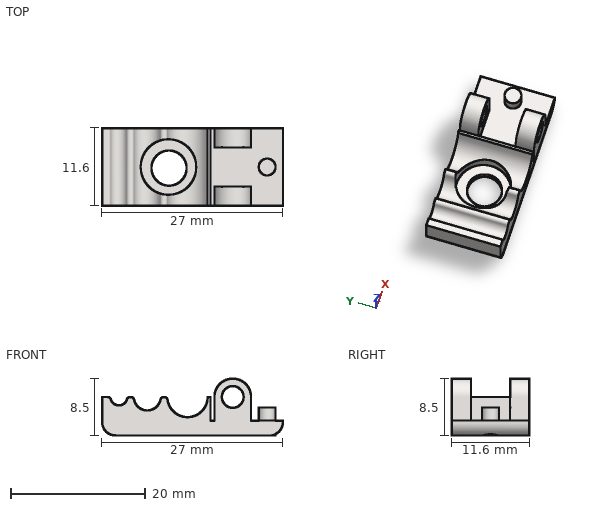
import cadquery as cq
import math

LENGTH = 27.0
WIDTH = 11.6
DECK_HEIGHT = 5.75
LEDGE_HEIGHT = 2.21
BOTTOM_RADIUS = 2.0

SMALL_GROOVE = (2.5, 1.25)
MEDIUM_GROOVE = (6.75, 2.0)
LARGE_GROOVE = (12.75, 3.0)
LIP_RADIUS = 0.5

CRADLE_END = 16.2
LUG_X = 19.5
LUG_RADIUS = 8.5 - DECK_HEIGHT
LUG_THICKNESS = 2.9
LUG_BORE = 3.2

PIN_X = 24.62
PIN_DIAMETER = 2.5
PIN_TOP = 4.2

RECESS_X = 9.9
RECESS_DIAMETER = 8.3
RECESS_FLOOR = 1.0
HOLE_X = 10.0
HOLE_Y = -0.15
HOLE_DIAMETER = 5.2


def extrude_across(profile, thickness, y_min):
    """Extrude an XZ profile toward +Y, starting at y_min."""
    return profile.extrude(-thickness).translate((0, y_min, 0))


def groove_cutter(groove, round_left=True, round_right=True):
    """Half-round channel whose chosen lips flare out tangent to the deck."""
    center_x, radius = groove
    lip_offset = math.sqrt((radius + LIP_RADIUS) ** 2 - LIP_RADIUS**2)
    touch_ratio = radius / (radius + LIP_RADIUS)
    touch_offset = lip_offset * touch_ratio
    touch_z = DECK_HEIGHT - LIP_RADIUS * touch_ratio
    half_sweep = math.atan2(lip_offset, LIP_RADIUS) / 2
    lip_mid_offset = lip_offset - LIP_RADIUS * math.sin(half_sweep)
    lip_mid_z = DECK_HEIGHT - LIP_RADIUS * (1 - math.cos(half_sweep))

    bottom = (center_x, DECK_HEIGHT - radius)
    if round_left:
        profile = (
            cq.Workplane("XZ")
            .moveTo(center_x - lip_offset, DECK_HEIGHT)
            .threePointArc((center_x - lip_mid_offset, lip_mid_z), (center_x - touch_offset, touch_z))
        )
    else:
        profile = cq.Workplane("XZ").moveTo(center_x - radius, DECK_HEIGHT)
    if round_right:
        profile = profile.threePointArc(bottom, (center_x + touch_offset, touch_z)).threePointArc(
            (center_x + lip_mid_offset, lip_mid_z), (center_x + lip_offset, DECK_HEIGHT)
        )
    else:
        profile = profile.threePointArc(bottom, (center_x + radius, DECK_HEIGHT))
    return extrude_across(profile.close(), WIDTH, -WIDTH / 2)


def make_block():
    """Stepped block with rounded lower ends."""
    profile = (
        cq.Workplane("XZ")
        .polyline([
            (0, 0),
            (LENGTH, 0),
            (LENGTH, LEDGE_HEIGHT),
            (CRADLE_END, LEDGE_HEIGHT),
            (CRADLE_END, DECK_HEIGHT),
            (0, DECK_HEIGHT),
        ])
        .close()
    )
    block = extrude_across(profile, WIDTH, -WIDTH / 2)
    return block.faces("<Z").edges("|Y").fillet(BOTTOM_RADIUS)


def make_lug(y_min):
    """Upright round-topped lug with a cross bore, rooted in the block."""
    profile = (
        cq.Workplane("XZ")
        .moveTo(LUG_X - LUG_RADIUS, 0)
        .lineTo(LUG_X + LUG_RADIUS, 0)
        .lineTo(LUG_X + LUG_RADIUS, DECK_HEIGHT)
        .threePointArc((LUG_X, DECK_HEIGHT + LUG_RADIUS), (LUG_X - LUG_RADIUS, DECK_HEIGHT))
        .close()
    )
    bore = cq.Workplane("XZ").center(LUG_X, DECK_HEIGHT).circle(LUG_BORE / 2)
    lug = extrude_across(profile, LUG_THICKNESS, y_min)
    return lug.cut(extrude_across(bore, LUG_THICKNESS, y_min))


def upright_cylinder(x, y, diameter, z_min, z_max):
    base = cq.Workplane("XY").workplane(offset=z_min).center(x, y)
    return base.circle(diameter / 2).extrude(z_max - z_min)


result = make_block()

result = result.cut(groove_cutter(SMALL_GROOVE))
result = result.cut(groove_cutter(MEDIUM_GROOVE))
result = result.cut(groove_cutter(LARGE_GROOVE, round_right=False))

result = result.cut(upright_cylinder(RECESS_X, 0, RECESS_DIAMETER, RECESS_FLOOR, DECK_HEIGHT))
result = result.cut(upright_cylinder(HOLE_X, HOLE_Y, HOLE_DIAMETER, 0, DECK_HEIGHT))

for lug_y_min in (-WIDTH / 2, WIDTH / 2 - LUG_THICKNESS):
    result = result.union(make_lug(lug_y_min))
result = result.union(upright_cylinder(PIN_X, 0, PIN_DIAMETER, 0, PIN_TOP))